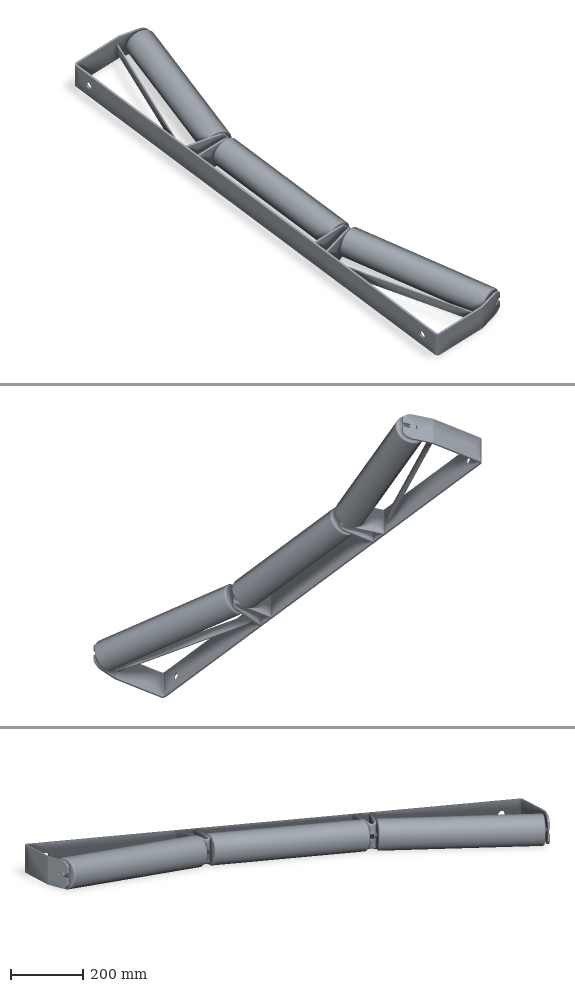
import cadquery as cq
import math

FRAME_LENGTH = 1490.0
STRIP_WIDTH = 79.0
PLATE = 6.0
BEND_OUTER_RADIUS = 10.0
BEND_INNER_RADIUS = BEND_OUTER_RADIUS - PLATE
FOLD_HEIGHT = 170.0
FLANGE_ABOVE_AXIS = 30.0
HOLE_DIAMETER = 21.0
HOLE_SPACING = 1365.0

TILT = 15.0
ROLLER_DIAMETER = 90.0
ROLLER_LENGTH = 465.0
RIM_RADIUS = 5.0
SHAFT_DIAMETER = 20.0
SHAFT_FLAT_WIDTH = 13.0
END_GAP = 3.0
OUTER_END_GAP = 7.0
CENTER_AXIS_HEIGHT = 98.0
SIDE_ROLLER_TOP = 267.0

BRACKET_BEND_RADIUS = 13.0

STRUT_WIDTH = 30.0
STRUT_THICKNESS = 5.0
STRUT_TOP_HEIGHT = 162.0
STRUT_FOOT_X = -301.0

HALF_LENGTH = FRAME_LENGTH / 2
HALF_WIDTH = STRIP_WIDTH / 2
SIN_TILT = math.sin(math.radians(TILT))
COS_TILT = math.cos(math.radians(TILT))
TAN_TILT = math.tan(math.radians(TILT))
TAN_HALF_TILT = math.tan(math.radians(TILT / 2))
RIM_ARC_ALONG = ROLLER_LENGTH / 2 - RIM_RADIUS
RIM_ARC_ACROSS = ROLLER_DIAMETER / 2 - RIM_RADIUS
SIDE_AXIS_HEIGHT = SIDE_ROLLER_TOP - RIM_RADIUS - RIM_ARC_ALONG * SIN_TILT - RIM_ARC_ACROSS * COS_TILT
SEAT_FACE = ROLLER_LENGTH / 2 + END_GAP
SLOT_ROUND_DROP = math.sqrt(SHAFT_DIAMETER**2 - SHAFT_FLAT_WIDTH**2) / 2
SEAT_BACK = SEAT_FACE + PLATE
FLANGE_FACE = ROLLER_LENGTH / 2 + OUTER_END_GAP
FLANGE_BACK = FLANGE_FACE + PLATE

shaft_end_height = SIDE_AXIS_HEIGHT + FLANGE_BACK * SIN_TILT
shaft_end_x = -HALF_LENGTH + (shaft_end_height - FOLD_HEIGHT) * TAN_TILT
SIDE_ROLLER_X = shaft_end_x + FLANGE_BACK * COS_TILT


def place_left(body):
    """Move a body from the X axis onto the axis of the left roller."""
    return body.rotate((0, 0, 0), (0, 0, 1), -TILT).translate((SIDE_ROLLER_X, SIDE_AXIS_HEIGHT, 0))


def left_point(along, across):
    """Point given along and across the left roller's axis, from the roller middle."""
    return (
        SIDE_ROLLER_X + along * COS_TILT + across * SIN_TILT,
        SIDE_AXIS_HEIGHT - along * SIN_TILT + across * COS_TILT,
    )


def mirrored(body):
    """The same body on the other side of the middle plane."""
    return body.mirror("YZ")


def make_bar(diameter, length):
    """Round bar along X, centred on the origin."""
    return cq.Workplane("YZ", origin=(-length / 2, 0, 0)).circle(diameter / 2).extrude(length)


def make_shaft(left_reach, right_reach):
    """Round bar along X with two flats facing +Z and -Z."""
    length = left_reach + right_reach
    flats = cq.Workplane("XY").box(length, SHAFT_DIAMETER, SHAFT_FLAT_WIDTH)
    return make_bar(SHAFT_DIAMETER, length).intersect(flats).translate(((right_reach - left_reach) / 2, 0, 0))


def make_roller(left_reach, right_reach):
    """Roller along X with rounded rims and a flatted shaft that reaches a given way to each side."""
    body = make_bar(ROLLER_DIAMETER, ROLLER_LENGTH).edges("%CIRCLE").fillet(RIM_RADIUS)
    return body.union(make_shaft(left_reach, right_reach))


def make_seat_cutter(start, end):
    """Cutter that shapes a plate between two places along X into a shaft seat.

    It rounds the plate's top about the shaft axis and opens a round-bottomed slot upwards.
    """
    reach = ROLLER_DIAMETER
    length = end - start
    block = cq.Workplane("XY").box(length, reach, reach).translate((0, reach / 2, 0))
    corners = block.cut(make_bar(STRIP_WIDTH, length))
    slot_round = make_bar(SHAFT_FLAT_WIDTH, length).translate((0, -SLOT_ROUND_DROP, 0))
    slot_height = reach + SLOT_ROUND_DROP
    slot = cq.Workplane("XY").box(length, slot_height, SHAFT_FLAT_WIDTH)
    slot = slot.translate((0, slot_height / 2 - SLOT_ROUND_DROP, 0))
    return corners.union(slot).union(slot_round).translate(((start + end) / 2, 0, 0))


def make_frame():
    """Base strip with upright walls, tilted slotted flanges and mounting holes."""
    wall_inside = -HALF_LENGTH + PLATE
    inner_fold_height = FOLD_HEIGHT - PLATE * TAN_HALF_TILT
    half = (
        cq.Workplane("XY")
        .moveTo(0, 0)
        .lineTo(-HALF_LENGTH, 0)
        .lineTo(-HALF_LENGTH, FOLD_HEIGHT)
        .lineTo(*left_point(-FLANGE_BACK, FLANGE_ABOVE_AXIS))
        .lineTo(*left_point(-FLANGE_FACE, FLANGE_ABOVE_AXIS))
        .lineTo(wall_inside, inner_fold_height)
        .lineTo(wall_inside, PLATE)
        .lineTo(0, PLATE)
        .close()
        .extrude(HALF_WIDTH, both=True)
    )
    fold_edges = (
        ((-HALF_LENGTH, 0, 0), BEND_OUTER_RADIUS),
        ((wall_inside, PLATE, 0), BEND_INNER_RADIUS),
        ((-HALF_LENGTH, FOLD_HEIGHT, 0), BEND_OUTER_RADIUS),
        ((wall_inside, inner_fold_height, 0), BEND_INNER_RADIUS),
    )
    for place, radius in fold_edges:
        half = half.edges(cq.selectors.NearestToPointSelector(place)).fillet(radius)
    half = half.cut(place_left(make_seat_cutter(-FLANGE_BACK, -FLANGE_FACE)))
    hole = cq.Workplane("XZ").center(-HOLE_SPACING / 2, 0).circle(HOLE_DIAMETER / 2).extrude(-PLATE)
    half = half.cut(hole)
    return half.union(mirrored(half))


def make_bracket():
    """Left inner bracket: one leg square to each roller axis, joined by a round bend."""
    inner_radius = BRACKET_BEND_RADIUS - PLATE
    bend_x = -SEAT_FACE - BRACKET_BEND_RADIUS
    lean_x, lean_y = left_point(SEAT_FACE, 0)
    bend_y = lean_y + (bend_x - BRACKET_BEND_RADIUS / COS_TILT - lean_x) / TAN_TILT

    def on_bend(radius, degrees):
        angle = math.radians(degrees)
        return (bend_x + radius * math.cos(angle), bend_y + radius * math.sin(angle))

    lean_angle = 180 - TILT
    top_angle = lean_angle / 2

    def lean_foot(along):
        edge_x, edge_y = left_point(along, 0)
        return (edge_x - (edge_y - PLATE) * TAN_TILT, PLATE)

    bracket = (
        cq.Workplane("XY")
        .moveTo(-SEAT_FACE, PLATE)
        .lineTo(-SEAT_FACE, bend_y)
        .threePointArc(on_bend(BRACKET_BEND_RADIUS, top_angle), on_bend(BRACKET_BEND_RADIUS, lean_angle))
        .lineTo(*lean_foot(SEAT_FACE))
        .lineTo(*lean_foot(SEAT_BACK))
        .lineTo(*on_bend(inner_radius, lean_angle))
        .threePointArc(on_bend(inner_radius, top_angle), on_bend(inner_radius, 0))
        .lineTo(-SEAT_BACK, PLATE)
        .close()
        .extrude(HALF_WIDTH, both=True)
    )
    seat_end = SEAT_FACE + BRACKET_BEND_RADIUS
    bracket = bracket.cut(make_seat_cutter(-seat_end, -SEAT_FACE).translate((0, CENTER_AXIS_HEIGHT, 0)))
    return bracket.cut(place_left(make_seat_cutter(SEAT_FACE, seat_end)))


def make_strut():
    """Left diagonal flat bar from the upright wall down to the base strip."""
    wall_inside = -HALF_LENGTH + PLATE
    slope = math.atan2(STRUT_TOP_HEIGHT - PLATE, STRUT_FOOT_X - wall_inside)
    return (
        cq.Workplane("XY")
        .moveTo(wall_inside, STRUT_TOP_HEIGHT)
        .lineTo(STRUT_FOOT_X, PLATE)
        .lineTo(STRUT_FOOT_X - STRUT_THICKNESS / math.sin(slope), PLATE)
        .lineTo(wall_inside, STRUT_TOP_HEIGHT - STRUT_THICKNESS / math.cos(slope))
        .close()
        .extrude(STRUT_WIDTH / 2, both=True)
        .clean()
    )


frame = make_frame()
bracket = make_bracket()
strut = make_strut()
center_roller = make_roller(SEAT_BACK, SEAT_BACK).translate((0, CENTER_AXIS_HEIGHT, 0))
side_roller = place_left(make_roller(FLANGE_BACK, SEAT_BACK))

bodies = [frame.val(), center_roller.val()]
for left_body in (bracket, strut, side_roller):
    bodies += [left_body.val(), mirrored(left_body).val()]

result = cq.Compound.makeCompound(bodies)